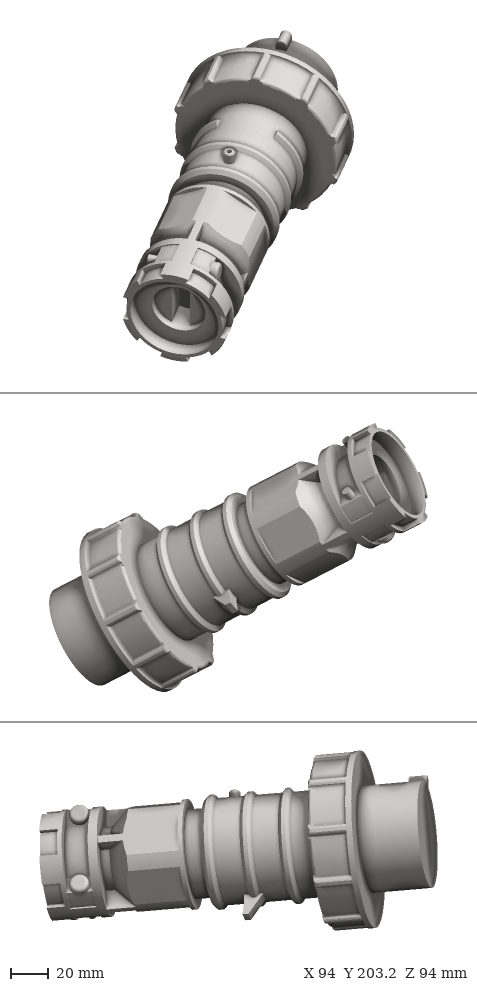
import cadquery as cq
import math

LENGTH = 203.2

HOUSING_RADIUS = 28.5
HOUSING_START = 86.8
KEY_RADIUS = 3.0
KEY_HEIGHT = 31.3
KEY_LENGTH = 9.5
PAD_HALF_WIDTH = 14.5
PAD_RADIUS = 28.2
PAD_START = 125.4
RIB_RING_WIDTH = 6.3
RIB_RING_CREST = 2.2
REAR_RING_RADIUS = 30.5
REAR_RING_CENTRES = (HOUSING_START + RIB_RING_WIDTH / 2, 110.8)
FRONT_RING_RADIUS = 30.9
FRONT_RING_CENTRE = 131.5
FRONT_RING_GAP_ANGLE = 65.0
HOOK_WIDTH = 7.3
HOOK_SINK = 2.0
HOOK_FRONT = 115.5
HOOK_TIP_FRONT = 107.7
HOOK_BACK = 105.3
HOOK_LIP_BACK = 104.5
HOOK_LIP_TOP = -32.7
HOOK_TIP = -39.6

COLLAR_START = 147.3
COLLAR_END = 171.3
FLANGE_THICKNESS = 3.3
FLANGE_START = COLLAR_END - FLANGE_THICKNESS
COLLAR_DIAMETER = 94.0
COLLAR_RADIUS = COLLAR_DIAMETER / 2
GRIP_FLOOR_RADIUS = 44.7
GRIP_COUNT = 10
GRIP_RIB_SINK = 10.2
GRIP_CREST_HALF = 1.0
GRIP_SHOULDER_HALF = 1.6
GRIP_SHOULDER_DROP = 0.5
GRIP_SIDE_SLOPE = 0.6
GRIP_ROOT_FILLET = 1.6
COLLAR_END_FILLET = 1.8
FLANGE_FILLET = 1.8

GLAND_RADIUS = 29.3
GLAND_END = 77.0
NECK_RADIUS = 23.8
WRENCH_FLAT_DISTANCE = 27.2
WRENCH_FLAT_COUNT = 6
WRENCH_FLAT_END = 74.5
WAIST_START = 31.0
WAIST_CYLINDER_LENGTH = 4.7
WAIST_RADIUS = 18.3
WAIST_WEB_WIDTH = 4.0
CLAMP_START = 12.2
CLAMP_END = 26.2
CLAMP_WEB_WIDTH = 10.2
CLAMP_LUG_WIDTH = 30.0
CLAMP_LUG_HEIGHT = 15.0
CLAMP_RADIUS = 28.5
JAW_SHIFT = 9.0
CABLE_BORE_RADIUS = 14.6
MOUTH_RADIUS = 24.4
MOUTH_DEPTH = 8.1
NOTCH_COUNT = 6
NOTCH_WIDTH = 14.8
NOTCH_LENGTH = 9.8
NOTCH_FLOOR_RADIUS = 26.5

SCREW_RADIUS = 2.5
SCREW_TIP = -20.1
SCREW_SEAT = CLAMP_LUG_WIDTH / 2
SCREW_HEAD_RADIUS = 5.3
SCREW_HEAD_HEIGHT = 4.3
SCREW_HEAD_FILLET = 1.8
SCREW_HEIGHT = 20.5
SCREW_Y = 19.3

SET_SCREW_RADIUS = 3.0
SET_SCREW_Y = 99.5
SET_SCREW_BOTTOM = 22.4
SET_SCREW_TOP = 34.8
SET_SCREW_CHAMFER = 0.6
SOCKET_WIDTH = 2.8
SOCKET_DEPTH = 3.0


def cylinder(radius, start, end, x=0, z=0):
    """Cylinder along Y between two positions."""
    plane = cq.Workplane("XZ", origin=(x, start, z))
    return plane.circle(radius).extrude(start - end)


def block(x_size, z_size, start, end, z=0):
    """Block centred on x = 0 and on the given height, between two positions along Y."""
    plane = cq.Workplane("XZ", origin=(0, start, z))
    return plane.rect(x_size, z_size).extrude(start - end)


def turned(outline):
    """Solid of an (r, y) outline sketch revolved about the plug axis."""
    return outline.close().revolve(360, (0, 0, 0), (0, 1, 0))


def rib_ring(centre, radius):
    """Raised ring of trapezoid section, sunk into the housing."""
    root = RIB_RING_WIDTH / 2
    crest = RIB_RING_CREST / 2
    return turned(
        cq.Workplane("XY")
        .moveTo(0, centre - root)
        .lineTo(HOUSING_RADIUS, centre - root)
        .lineTo(radius, centre - crest)
        .lineTo(radius, centre + crest)
        .lineTo(HOUSING_RADIUS, centre + root)
        .lineTo(0, centre + root)
    )


def front_ring():
    """Ring interrupted by the pad, its ends lying in radial planes."""
    reach = 2 * FRONT_RING_RADIUS
    half_angle = math.radians(FRONT_RING_GAP_ANGLE / 2)
    spread = reach * math.tan(half_angle)
    gap = (
        cq.Workplane("XZ", origin=(0, COLLAR_START, 0))
        .polyline([(0, 0), (spread, reach), (-spread, reach)])
        .close()
        .extrude(COLLAR_START - PAD_START)
    )
    return rib_ring(FRONT_RING_CENTRE, FRONT_RING_RADIUS).cut(gap)


def pad_recess():
    """Shallow window in the top of the housing, its floor a slightly smaller cylinder."""
    window = block(2 * PAD_HALF_WIDTH, HOUSING_RADIUS, PAD_START, COLLAR_START, HOUSING_RADIUS)
    return window.cut(cylinder(PAD_RADIUS, PAD_START, COLLAR_START))


def hook():
    """Latch hook under the housing, with a sloping front and a lip at its tip."""
    root = -HOUSING_RADIUS + HOOK_SINK
    return (
        cq.Workplane("YZ")
        .moveTo(HOOK_FRONT, -HOUSING_RADIUS)
        .lineTo(HOOK_TIP_FRONT, HOOK_TIP)
        .lineTo(HOOK_LIP_BACK, HOOK_TIP)
        .lineTo(HOOK_BACK, HOOK_LIP_TOP)
        .lineTo(HOOK_BACK, root)
        .lineTo(HOOK_FRONT, root)
        .close()
        .extrude(HOOK_WIDTH / 2, both=True)
    )


def key():
    """Polarising key on top of the plug end: straight sides under a rounded top."""
    start = LENGTH - KEY_LENGTH
    stem_height = KEY_HEIGHT - HOUSING_RADIUS + KEY_RADIUS
    stem = block(2 * KEY_RADIUS, stem_height, start, LENGTH, KEY_HEIGHT - stem_height / 2)
    return stem.union(cylinder(KEY_RADIUS, start, LENGTH, z=KEY_HEIGHT))


def make_housing():
    """Plug housing with its key, rings, pad, hook and set screw hole."""
    body = cylinder(HOUSING_RADIUS, HOUSING_START, LENGTH)
    body = body.union(key())
    for centre in REAR_RING_CENTRES:
        body = body.union(rib_ring(centre, REAR_RING_RADIUS))
    body = body.union(front_ring()).cut(pad_recess()).union(hook())
    return body.cut(set_screw_blank())


def rounded_end(radius):
    """Start of a turned collar outline: cable-side face and its rounded edge."""
    corner = COLLAR_END_FILLET * (1 - math.sqrt(0.5))
    return (
        cq.Workplane("XY")
        .moveTo(HOUSING_RADIUS, COLLAR_START)
        .lineTo(radius - COLLAR_END_FILLET, COLLAR_START)
        .threePointArc(
            (radius - corner, COLLAR_START + corner),
            (radius, COLLAR_START + COLLAR_END_FILLET),
        )
    )


def collar_body():
    """Turned grip floor, joined by a concave fillet to the flange at the plug side."""
    corner = FLANGE_FILLET * (1 - math.sqrt(0.5))
    return turned(
        rounded_end(GRIP_FLOOR_RADIUS)
        .lineTo(GRIP_FLOOR_RADIUS, FLANGE_START - FLANGE_FILLET)
        .threePointArc(
            (GRIP_FLOOR_RADIUS + corner, FLANGE_START - corner),
            (GRIP_FLOOR_RADIUS + FLANGE_FILLET, FLANGE_START),
        )
        .lineTo(COLLAR_RADIUS, FLANGE_START)
        .lineTo(COLLAR_RADIUS, COLLAR_END)
        .lineTo(HOUSING_RADIUS, COLLAR_END)
    )


def rib_envelope():
    """Turned shape that bounds the grip ribs and rounds their cable-side ends."""
    return turned(
        rounded_end(COLLAR_RADIUS)
        .lineTo(COLLAR_RADIUS, FLANGE_START)
        .lineTo(HOUSING_RADIUS, FLANGE_START)
    )


def grip_rib():
    """Rib at the top of the collar, flaring into the grip floor on both sides."""
    shoulder_height = COLLAR_RADIUS - GRIP_SHOULDER_DROP
    side_half = GRIP_SHOULDER_HALF + GRIP_SIDE_SLOPE
    side_height = shoulder_height - GRIP_SIDE_SLOPE
    root_half = side_half + GRIP_ROOT_FILLET
    root_height = side_height - GRIP_ROOT_FILLET
    corner = GRIP_ROOT_FILLET * (1 - math.sqrt(0.5))
    bend_half = side_half + corner
    bend_height = root_height + corner
    bottom = GRIP_FLOOR_RADIUS - GRIP_RIB_SINK
    rib = (
        cq.Workplane("XZ", origin=(0, COLLAR_START, 0))
        .moveTo(-GRIP_CREST_HALF, COLLAR_RADIUS)
        .lineTo(GRIP_CREST_HALF, COLLAR_RADIUS)
        .lineTo(GRIP_SHOULDER_HALF, shoulder_height)
        .lineTo(side_half, side_height)
        .threePointArc((bend_half, bend_height), (root_half, root_height))
        .lineTo(root_half, bottom)
        .lineTo(-root_half, bottom)
        .lineTo(-root_half, root_height)
        .threePointArc((-bend_half, bend_height), (-side_half, side_height))
        .lineTo(-GRIP_SHOULDER_HALF, shoulder_height)
        .close()
        .extrude(COLLAR_START - FLANGE_START)
    )
    return rib.intersect(rib_envelope())


def make_collar():
    """Collar with ten grip ribs, one of them at the top."""
    rib = grip_rib().val()
    ribs = cq.Workplane("XY")
    for index in range(GRIP_COUNT):
        ribs = ribs.add(rib.rotate((0, 0, 0), (0, 1, 0), index * 360 / GRIP_COUNT))
    return collar_body().union(ribs)


def gland_blank():
    """Gland without the clamp section: cap disc, waist, grip section and neck."""
    waist_cone_start = WAIST_START + WAIST_CYLINDER_LENGTH
    waist_end = waist_cone_start + GLAND_RADIUS - WAIST_RADIUS
    profile = [
        (0, CLAMP_END),
        (GLAND_RADIUS, CLAMP_END),
        (GLAND_RADIUS, WAIST_START),
        (WAIST_RADIUS, WAIST_START),
        (WAIST_RADIUS, waist_cone_start),
        (GLAND_RADIUS, waist_end),
        (GLAND_RADIUS, GLAND_END),
        (NECK_RADIUS, GLAND_END),
        (NECK_RADIUS, HOUSING_START),
        (0, HOUSING_START),
    ]
    body = turned(cq.Workplane("XY").polyline(profile))
    webs = block(WAIST_WEB_WIDTH, 2 * GLAND_RADIUS, WAIST_START, waist_end)
    webs = webs.union(block(2 * GLAND_RADIUS, WAIST_WEB_WIDTH, WAIST_START, waist_end))
    return body.union(webs.intersect(cylinder(GLAND_RADIUS, WAIST_START, waist_end)))


def cut_wrench_flats(body):
    """Mill the six wrench flats, one of them facing +X."""
    middle = (WAIST_START + WRENCH_FLAT_END) / 2
    length = WRENCH_FLAT_END - WAIST_START
    cutter = cq.Workplane("XY").box(GLAND_RADIUS, length, 2 * GLAND_RADIUS)
    cutter = cutter.translate((WRENCH_FLAT_DISTANCE + GLAND_RADIUS / 2, middle, 0))
    for index in range(WRENCH_FLAT_COUNT):
        body = body.cut(cutter.rotate((0, 0, 0), (0, 1, 0), index * 360 / WRENCH_FLAT_COUNT))
    return body


def clamp_section():
    """Two curved jaws with lugs above and below, a full-radius web and the cable slot."""
    jaws = cylinder(CLAMP_RADIUS, CLAMP_START, CLAMP_END, x=JAW_SHIFT)
    jaws = jaws.intersect(cylinder(CLAMP_RADIUS, CLAMP_START, CLAMP_END, x=-JAW_SHIFT))
    lugs = block(CLAMP_LUG_WIDTH, 2 * CLAMP_RADIUS, CLAMP_START, CLAMP_END)
    lugs = lugs.cut(block(CLAMP_LUG_WIDTH, 2 * CLAMP_LUG_HEIGHT, CLAMP_START, CLAMP_END))
    lugs = lugs.intersect(cylinder(CLAMP_RADIUS, CLAMP_START, CLAMP_END))
    web = block(CLAMP_WEB_WIDTH, 2 * GLAND_RADIUS, CLAMP_START, CLAMP_END)
    slot = web.intersect(cylinder(CABLE_BORE_RADIUS, CLAMP_START, CLAMP_END))
    web = web.intersect(cylinder(GLAND_RADIUS, CLAMP_START, CLAMP_END))
    return jaws.union(lugs).union(web).cut(slot)


def end_cap():
    """Cable-end cap with a wide mouth, a cable bore and six notches around its rim."""
    cap = cylinder(GLAND_RADIUS, 0, CLAMP_START)
    cap = cap.cut(cylinder(MOUTH_RADIUS, 0, MOUTH_DEPTH))
    cap = cap.cut(cylinder(CABLE_BORE_RADIUS, MOUTH_DEPTH, CLAMP_START))
    notch = block(2 * GLAND_RADIUS, NOTCH_WIDTH, 0, NOTCH_LENGTH).translate((GLAND_RADIUS, 0, 0))
    notch = notch.cut(cylinder(NOTCH_FLOOR_RADIUS, 0, NOTCH_LENGTH))
    for index in range(NOTCH_COUNT):
        cap = cap.cut(notch.rotate((0, 0, 0), (0, 1, 0), index * 360 / NOTCH_COUNT))
    return cap


def make_gland(screws):
    """Gland with its wrench flats, clamp, end cap and the holes filled by the screws."""
    body = cut_wrench_flats(gland_blank())
    body = body.union(clamp_section()).union(end_cap())
    for screw in screws:
        body = body.cut(screw)
    return body


def make_clamp_screw(height):
    """Screw along X at the given height, its domed head resting on the +X lug face."""
    plane = cq.Workplane("YZ", origin=(SCREW_SEAT, SCREW_Y, height))
    head = plane.circle(SCREW_HEAD_RADIUS).extrude(SCREW_HEAD_HEIGHT)
    head = head.faces(">X").edges().fillet(SCREW_HEAD_FILLET)
    return head.union(plane.circle(SCREW_RADIUS).extrude(SCREW_TIP - SCREW_SEAT))


def set_screw_blank():
    """Plain shank of the set screw, which also shapes its hole in the housing."""
    plane = cq.Workplane("XY", origin=(0, SET_SCREW_Y, SET_SCREW_BOTTOM))
    return plane.circle(SET_SCREW_RADIUS).extrude(SET_SCREW_TOP - SET_SCREW_BOTTOM)


def make_set_screw():
    """Upright screw with a chamfered top and a hexagon socket."""
    body = set_screw_blank().faces(">Z").chamfer(SET_SCREW_CHAMFER)
    socket_diameter = SOCKET_WIDTH / math.cos(math.pi / 6)
    return body.faces(">Z").workplane().polygon(6, socket_diameter).cutBlind(-SOCKET_DEPTH)


housing = make_housing()
collar = make_collar()
clamp_screws = [make_clamp_screw(height) for height in (SCREW_HEIGHT, -SCREW_HEIGHT)]
gland = make_gland(clamp_screws)
set_screw = make_set_screw()

result = cq.Compound.makeCompound(
    [
        housing.val(),
        collar.val(),
        gland.val(),
        *[screw.val() for screw in clamp_screws],
        set_screw.val(),
    ]
)